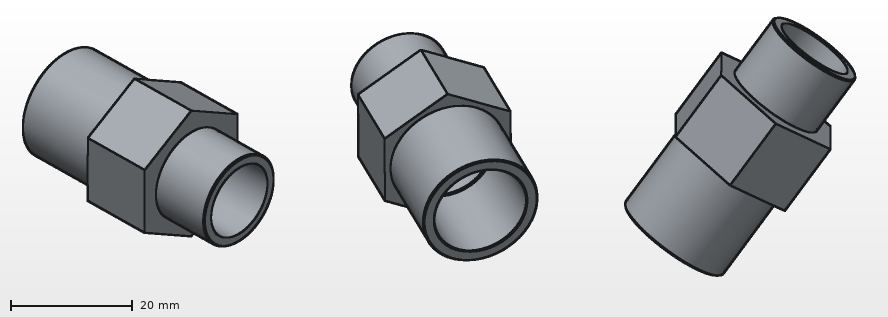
import cadquery as cq
import math

total_length = 40
hex_start = 16
hex_length = 13.0
hex_across_flats = 22
hex_tilt = 0.2
large_diameter = 20
small_diameter = 16.7
edge_chamfer = 0.2

large_bore = 16
step_bore = 15.2
through_bore = 13.3
large_bore_depth = 16
step_bore_depth = 24
mouth_chamfer = 0.15

hex_across_corners = hex_across_flats / math.cos(math.pi / 6)
hex_end = hex_start + hex_length


def cylinder(diameter, start, end):
    """Round bar along X between two positions."""
    return cq.Workplane("YZ", origin=(start, 0, 0)).circle(diameter / 2).extrude(end - start)


large_spigot = cylinder(large_diameter, 0, hex_start).faces("<X").chamfer(edge_chamfer)
small_spigot = cylinder(small_diameter, hex_end, total_length).faces(">X").chamfer(edge_chamfer)
hexagon = (
    cq.Workplane("YZ", origin=(hex_start, 0, 0))
    .transformed(rotate=(0, 0, 90 - hex_tilt))
    .polygon(6, hex_across_corners)
    .extrude(hex_length)
)
body = large_spigot.union(hexagon).union(small_spigot)

bored_body = (
    body.cut(cylinder(through_bore, 0, total_length))
    .cut(cylinder(step_bore, 0, step_bore_depth))
    .cut(cylinder(large_bore, 0, large_bore_depth))
)

mouth_edge = cq.selectors.RadiusNthSelector(0)
result = bored_body.faces("<X").edges(mouth_edge).chamfer(mouth_chamfer)